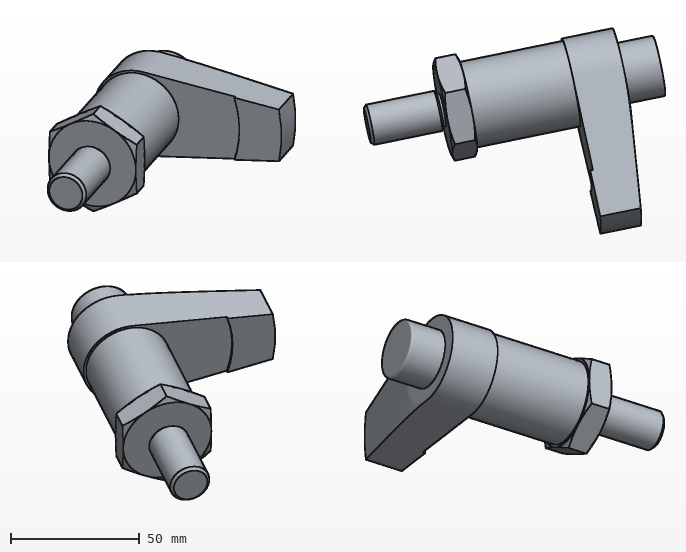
import cadquery as cq
import math

hex_flats = 36.0
hex_height = 10.0
hex_chamfer_angle = 20
stud_diameter = 16.0
stud_end_y = -29.9
stud_chamfer = 1.2
neck_diameter = 13.0
neck_length = 1.0
shoulder_taper_height = 0.8
sleeve_diameter = 34.0
lever_bottom_y = 51.0
lever_top_y = 71.1
plunger_diameter = 24.0
plunger_rounding = 0.8
overall_length = 116.0
plunger_top_y = stud_end_y + overall_length

hub_radius = hex_flats / 2
lever_reach = 59.9
tip_half_width = 11.0
lever_drop = 5.0
pad_start_radius = 42.5
pad_depth = 1.0


def revolve_about_y(radius_y_points):
    """Revolve a closed outline of (radius, y) points about the spindle axis."""
    return cq.Workplane("XY").polyline(radius_y_points).close().revolve(360, (0, 0, 0), (0, 1, 0))


def cylinder(diameter, y_start, y_end):
    plane = cq.Workplane("XZ", origin=(0, y_start, 0))
    return plane.circle(diameter / 2).extrude(y_start - y_end)


def make_hexagon():
    """Hexagon with corners up and down, chamfered at both faces."""
    corner_diameter = hex_flats / math.cos(math.pi / 6)
    prism = (
        cq.Workplane("XZ")
        .transformed(rotate=(0, 0, 90))
        .polygon(6, corner_diameter)
        .extrude(-hex_height)
    )
    corner_radius = corner_diameter / 2
    chamfer_height = (corner_radius - hub_radius) * math.tan(math.radians(hex_chamfer_angle))
    envelope = revolve_about_y([
        (0, 0),
        (hub_radius, 0),
        (corner_radius, chamfer_height),
        (corner_radius, hex_height - chamfer_height),
        (hub_radius, hex_height),
        (0, hex_height),
    ])
    return prism.intersect(envelope)


def make_stud():
    """Plain stud with a necked root and a chamfered end."""
    stud_radius = stud_diameter / 2
    return revolve_about_y([
        (0, 0),
        (neck_diameter / 2, 0),
        (neck_diameter / 2, -neck_length),
        (stud_radius, -neck_length - shoulder_taper_height),
        (stud_radius, stud_end_y + stud_chamfer),
        (stud_radius - stud_chamfer, stud_end_y),
        (0, stud_end_y),
    ])


def make_lever():
    """Tapered lever with a conical top, a round tip and a raised pad under the tip."""
    tip_x = math.sqrt(lever_reach**2 - tip_half_width**2)
    tangent_angle = math.atan2(tip_half_width, tip_x) + math.acos(hub_radius / lever_reach)
    tangent_x = hub_radius * math.cos(tangent_angle)
    tangent_z = hub_radius * math.sin(tangent_angle)

    pad_bottom_y = lever_bottom_y - pad_depth
    blank = (
        cq.Workplane("XZ", origin=(0, pad_bottom_y, 0))
        .moveTo(tangent_x, tangent_z)
        .lineTo(tip_x, tip_half_width)
        .threePointArc((lever_reach, 0), (tip_x, -tip_half_width))
        .lineTo(tangent_x, -tangent_z)
        .threePointArc((-hub_radius, 0), (tangent_x, tangent_z))
        .close()
        .extrude(pad_bottom_y - lever_top_y)
    )
    envelope = revolve_about_y([
        (0, lever_bottom_y),
        (pad_start_radius, lever_bottom_y),
        (pad_start_radius, pad_bottom_y),
        (lever_reach, pad_bottom_y),
        (lever_reach, lever_top_y - lever_drop),
        (hub_radius, lever_top_y),
        (0, lever_top_y),
    ])
    return blank.intersect(envelope)


sleeve = cylinder(sleeve_diameter, hex_height, lever_bottom_y)
plunger = cylinder(plunger_diameter, lever_top_y, plunger_top_y).faces(">Y").edges().fillet(plunger_rounding)

result = make_hexagon().union(make_stud()).union(sleeve).union(make_lever()).union(plunger)